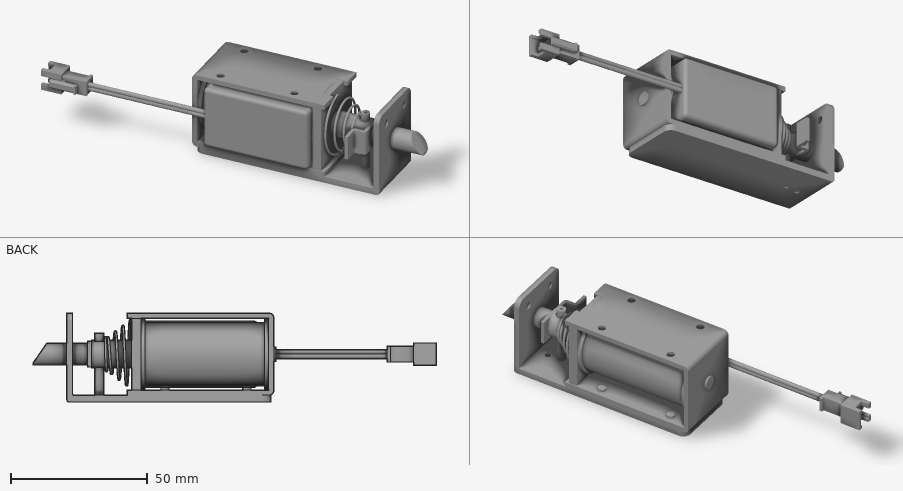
import cadquery as cq
import math

TOTAL_LENGTH = 147.5
WIDTH = 27.1
OVERALL_HEIGHT = 32.6

BASE_THICK = 2.5
BASE_REAR_X = 60.5
FRONT_PLATE_X = 135.3
FRONT_PLATE_THICK = 2.2
BRACKET_CORNER_R = 3.1
BRACKET_BEND_R = 1.0
BRACKET_INNER_BEND_R = 0.5
MOUNT_HOLE_D = 3.0
MOUNT_HOLE_Y = 7.4
MOUNT_HOLE_Z = 27.3
BASE_HOLE_X = 128.7
BASE_HOLE_Y = 0.9
BASE_HOLE_D = 2.4

FRAME_REAR_X = 59.5
FRAME_FRONT_X = 113.2
FRAME_THICK = 1.9
FRAME_BEND_R = 1.8
SCREW_D = 3.1
SCREW_XS = (69.3, 99.3)
SCREW_Y = 10.0
RIVET_D = 5.3
RIVET_LENGTH = 0.7
NOTCH_WIDTH = 12.1
TAB_STEP = 0.1

FLANGE_THICK = 1.5
FLANGE_D = 26.0
COIL_D = 23.3
COVER_REAR_X = 65.5
COVER_FRONT_X = 107.7
COVER_HEIGHT = 24.3
COVER_FRONT_Y = -16.8
COVER_EDGE_R = 1.5
POLE_PLATE_X = 108.1
POLE_PLATE_THICK = 3.4
TAB_THICK = 2.7
POLE_PLATE_WIDTH = 26.5

WIRE_D = 1.8
WIRE_PITCH = 1.6
WIRE_Y = -14.3
HEAD_LENGTH = 8.3
HEAD_HEIGHT = 8.3
HEAD_BACK_Y = -9.9
HEAD_FRONT_Y = -17.5
POCKET_DEPTH = 5.9
POCKET_WIDTH = 5.3
POCKET_HEIGHT = 5.8
MOUTH_DEPTH = 3.0
MOUTH_WIDTH = 4.3
BODY_END_X = 18.0
BODY_HEIGHT = 5.9
BODY_BACK_Y = -11.8
BODY_FRONT_Y = -16.7
LIP_LENGTH = 1.2
LIP_RISE = 1.0
LATCH_START_X = 4.1
LATCH_END_X = 14.9
LATCH_WIDTH = 3.2
LATCH_BACK_Y = -17.9
LATCH_FRONT_Y = -19.2
LATCH_CHAMFER = 0.6
LATCH_STEM_LENGTH = 1.3
TOOTH_LENGTH = 0.9
TOOTH_FRONT_Y = -19.6

PLUNGER_REAR_X = 88.5
PLUNGER_D = 10.2
ROD_D = 8.1
ROD_BEVEL_X = 142.5
ROD_TIP_LAND = 0.9
PIN_X = 123.3
PIN_D = 3.4
PIN_BORE_D = 1.5
PIN_TOP_Z = 25.2
PIN_SEAT_D = 4.4
STRAP_X = 126.3
STRAP_THICK = 1.3
STRAP_BEND_R = 1.2
STRAP_HEIGHT = 9.5
STRAP_BACK_Y = 7.4
STRAP_JOG_Y = -9.0
STRAP_END_Y = -14.8
STRAP_TAB_X = 121.9

SPRING_WIRE_D = 0.9
SPRING_LARGE_R = 12.2
SPRING_SMALL_R = 6.0
SPRING_TURNS = 3
SPRING_END_PITCH = 0.96

AXIS_Z = (BASE_THICK + OVERALL_HEIGHT) / 2
FRAME_INNER_X = FRAME_REAR_X + FRAME_THICK
FRAME_FLOOR_Z = BASE_THICK + FRAME_THICK
POLE_PLATE_FRONT_X = POLE_PLATE_X + POLE_PLATE_THICK
TAB_REAR_X = POLE_PLATE_FRONT_X - TAB_THICK
FRONT_PLATE_INNER_X = FRONT_PLATE_X - FRONT_PLATE_THICK
COVER_BOTTOM_Z = AXIS_Z - COVER_HEIGHT / 2


def block(x0, x1, y0, y1, z0, z1):
    """Box between two opposite corners."""
    return cq.Workplane("XY").box(x1 - x0, y1 - y0, z1 - z0, centered=False).translate((x0, y0, z0))


def block_on_axis(x0, x1, y0, y1, height):
    """Box centred on the plunger axis height."""
    return block(x0, x1, y0, y1, AXIS_Z - height / 2, AXIS_Z + height / 2)


def rod_along_x(x0, x1, diameter, y=0.0, z=AXIS_Z):
    return cq.Workplane("YZ", origin=(x0, y, z)).circle(diameter / 2).extrude(x1 - x0)


def rod_along_z(x, y, z0, z1, diameter):
    return cq.Workplane("XY", origin=(x, y, z0)).circle(diameter / 2).extrude(z1 - z0)


def make_bracket():
    base = block(BASE_REAR_X, FRONT_PLATE_X, -WIDTH / 2, WIDTH / 2, 0, BASE_THICK)
    base = base.edges("|Z and <X").fillet(BRACKET_CORNER_R)
    plate = block(FRONT_PLATE_INNER_X, FRONT_PLATE_X, -WIDTH / 2, WIDTH / 2, 0, OVERALL_HEIGHT)
    plate = plate.edges("|X and >Z").fillet(BRACKET_CORNER_R)
    bracket = base.union(plate)
    bracket = bracket.edges("|Y and >X and <Z").fillet(BRACKET_BEND_R)
    inner_bend = cq.selectors.NearestToPointSelector((FRONT_PLATE_INNER_X, 0, BASE_THICK))
    bracket = bracket.edges(inner_bend).fillet(BRACKET_INNER_BEND_R)
    for y in (-MOUNT_HOLE_Y, MOUNT_HOLE_Y):
        bracket = bracket.cut(
            rod_along_x(FRONT_PLATE_INNER_X, FRONT_PLATE_X, MOUNT_HOLE_D, y, MOUNT_HOLE_Z)
        )
    rod_hole = rod_along_x(FRONT_PLATE_INNER_X, FRONT_PLATE_X, ROD_D)
    pin_bore = rod_along_z(PIN_X, 0, 0, BASE_THICK, PIN_BORE_D)
    base_hole = rod_along_z(BASE_HOLE_X, BASE_HOLE_Y, 0, BASE_THICK, BASE_HOLE_D)
    return bracket.cut(rod_hole).cut(pin_bore).cut(base_hole)


def make_frame():
    outer = block(FRAME_REAR_X, FRAME_FRONT_X, -WIDTH / 2, WIDTH / 2, BASE_THICK, OVERALL_HEIGHT)
    outer = outer.edges("|Y and <X").fillet(FRAME_BEND_R)
    frame_roof_z = OVERALL_HEIGHT - FRAME_THICK
    frame = outer.cut(
        block(FRAME_INNER_X, FRAME_FRONT_X, -WIDTH / 2, WIDTH / 2, FRAME_FLOOR_Z, frame_roof_z)
    )
    notch = block(
        TAB_REAR_X, FRAME_FRONT_X, -NOTCH_WIDTH / 2, NOTCH_WIDTH / 2, frame_roof_z, OVERALL_HEIGHT
    )
    frame = frame.cut(notch)
    for x in SCREW_XS:
        for y in (-SCREW_Y, SCREW_Y):
            frame = frame.cut(rod_along_z(x, y, frame_roof_z, OVERALL_HEIGHT, SCREW_D))
            frame = frame.union(rod_along_z(x, y, BASE_THICK, COVER_BOTTOM_Z, SCREW_D))
    return frame.union(rod_along_x(FRAME_REAR_X - RIVET_LENGTH, FRAME_INNER_X, RIVET_D))


def make_coil():
    coil = rod_along_x(FRAME_INNER_X, POLE_PLATE_X, COIL_D)
    for x in (FRAME_INNER_X, POLE_PLATE_X - FLANGE_THICK):
        coil = coil.union(rod_along_x(x, x + FLANGE_THICK, FLANGE_D))
    cover = block_on_axis(COVER_REAR_X, COVER_FRONT_X, COVER_FRONT_Y, 0, COVER_HEIGHT)
    cover = cover.edges("|Y").fillet(COVER_EDGE_R)
    cover = cover.faces("<Y").edges().fillet(COVER_EDGE_R)
    inner_height = OVERALL_HEIGHT - FRAME_THICK - FRAME_FLOOR_Z
    pole_plate = block_on_axis(
        POLE_PLATE_X, POLE_PLATE_FRONT_X, -POLE_PLATE_WIDTH / 2, POLE_PLATE_WIDTH / 2, inner_height
    )
    tab = block(
        TAB_REAR_X, POLE_PLATE_FRONT_X, -NOTCH_WIDTH / 2, NOTCH_WIDTH / 2, AXIS_Z, OVERALL_HEIGHT - TAB_STEP
    )
    bore = rod_along_x(PLUNGER_REAR_X, POLE_PLATE_FRONT_X, PLUNGER_D)
    return coil.union(cover).union(pole_plate).union(tab).cut(bore)


def make_connector():
    body_mid_y = (BODY_BACK_Y + BODY_FRONT_Y) / 2
    head_mid_y = (HEAD_BACK_Y + HEAD_FRONT_Y) / 2

    head = block_on_axis(0, HEAD_LENGTH, HEAD_FRONT_Y, HEAD_BACK_Y, HEAD_HEIGHT)
    pocket = block_on_axis(
        0, POCKET_DEPTH, head_mid_y - POCKET_WIDTH / 2, head_mid_y + POCKET_WIDTH / 2, POCKET_HEIGHT
    )
    mouth = block_on_axis(
        0, MOUTH_DEPTH, head_mid_y - MOUTH_WIDTH / 2, head_mid_y + MOUTH_WIDTH / 2, HEAD_HEIGHT
    )
    latch_slot = block_on_axis(0, POCKET_DEPTH, HEAD_FRONT_Y, head_mid_y, LATCH_WIDTH)
    head = head.cut(pocket).cut(mouth).cut(latch_slot)

    body = block_on_axis(HEAD_LENGTH, BODY_END_X, BODY_FRONT_Y, BODY_BACK_Y, BODY_HEIGHT)
    lip = block_on_axis(BODY_END_X - LIP_LENGTH, BODY_END_X, body_mid_y, BODY_BACK_Y + LIP_RISE, BODY_HEIGHT)

    latch = block_on_axis(LATCH_START_X, LATCH_END_X, LATCH_FRONT_Y, LATCH_BACK_Y, LATCH_WIDTH)
    latch = latch.edges("|X and <Y").chamfer(LATCH_CHAMFER)
    stem = block_on_axis(
        HEAD_LENGTH, HEAD_LENGTH + LATCH_STEM_LENGTH, LATCH_BACK_Y, BODY_FRONT_Y, LATCH_WIDTH
    )
    tooth = block_on_axis(LATCH_END_X - TOOTH_LENGTH, LATCH_END_X, TOOTH_FRONT_Y, LATCH_BACK_Y, LATCH_WIDTH)
    return head.union(body).union(lip).union(latch).union(stem).union(tooth)


def make_housing():
    housing = make_bracket().union(make_frame()).union(make_coil())
    for z in (AXIS_Z - WIRE_PITCH / 2, AXIS_Z + WIRE_PITCH / 2):
        housing = housing.union(rod_along_x(BODY_END_X, COVER_REAR_X + COVER_EDGE_R, WIRE_D, WIRE_Y, z))
    return housing.union(make_connector())


def make_strap():
    """Z-shaped strip: a plate across the rod, a jog to the rear and an end tab."""
    t = STRAP_THICK
    outline = [
        (STRAP_X, STRAP_BACK_Y),
        (STRAP_X + t, STRAP_BACK_Y),
        (STRAP_X + t, STRAP_JOG_Y),
        (STRAP_TAB_X + t, STRAP_JOG_Y),
        (STRAP_TAB_X + t, STRAP_END_Y),
        (STRAP_TAB_X, STRAP_END_Y),
        (STRAP_TAB_X, STRAP_JOG_Y + t),
        (STRAP_X, STRAP_JOG_Y + t),
    ]
    strap = cq.Workplane("XY", origin=(0, 0, AXIS_Z - STRAP_HEIGHT / 2)).polyline(outline).close()
    strap = strap.extrude(STRAP_HEIGHT)
    for corner in ((STRAP_X + t, STRAP_JOG_Y), (STRAP_TAB_X, STRAP_JOG_Y + t)):
        bend = cq.selectors.NearestToPointSelector((*corner, AXIS_Z))
        strap = strap.edges(bend).fillet(STRAP_BEND_R)
    return strap


def make_plunger():
    rod_top_z = AXIS_Z + ROD_D / 2
    rod_bottom_z = AXIS_Z - ROD_D / 2
    bevel = (
        cq.Workplane("XZ")
        .moveTo(ROD_BEVEL_X, rod_top_z)
        .lineTo(TOTAL_LENGTH, rod_bottom_z + ROD_TIP_LAND)
        .lineTo(TOTAL_LENGTH, rod_top_z)
        .close()
        .extrude(ROD_D / 2, both=True)
    )
    rod = rod_along_x(STRAP_X, TOTAL_LENGTH, ROD_D).cut(bevel)
    core = rod_along_x(PLUNGER_REAR_X, STRAP_X, PLUNGER_D)

    seat_z = AXIS_Z + math.sqrt(PLUNGER_D ** 2 - PIN_SEAT_D ** 2) / 2
    core = core.cut(rod_along_z(PIN_X, 0, seat_z, PIN_TOP_Z, PIN_SEAT_D))

    pin = rod_along_z(PIN_X, 0, BASE_THICK, PIN_TOP_Z, PIN_D)
    pin_bore = rod_along_z(PIN_X, 0, BASE_THICK, PIN_TOP_Z, PIN_BORE_D)
    return core.union(rod).union(make_strap()).union(pin).cut(pin_bore)


def make_spring():
    """Conical coil from the pole plate down to the cross pin, starting above the axis."""
    wire_r = SPRING_WIRE_D / 2
    start_x = POLE_PLATE_FRONT_X + wire_r
    end_x = PIN_X - PIN_D / 2 - wire_r
    open_pitch = (end_x - SPRING_END_PITCH - start_x) / SPRING_TURNS

    def coil_point(turn):
        open_turns = min(turn, SPRING_TURNS)
        closed_turns = turn - open_turns
        x = start_x + open_turns * open_pitch + closed_turns * SPRING_END_PITCH
        radius = SPRING_LARGE_R + (SPRING_SMALL_R - SPRING_LARGE_R) * open_turns / SPRING_TURNS
        angle = math.pi / 2 + 2 * math.pi * turn
        return (x, radius * math.cos(angle), AXIS_Z + radius * math.sin(angle))

    path = cq.Workplane("XY").parametricCurve(coil_point, N=120, start=0, stop=SPRING_TURNS + 1)
    section = cq.Workplane("XZ", origin=coil_point(0)).circle(wire_r)
    return section.sweep(path, isFrenet=True)


housing = make_housing()
plunger = make_plunger()
spring = make_spring()
result = cq.Compound.makeCompound([*housing.solids().vals(), *plunger.solids().vals(), spring.val()])